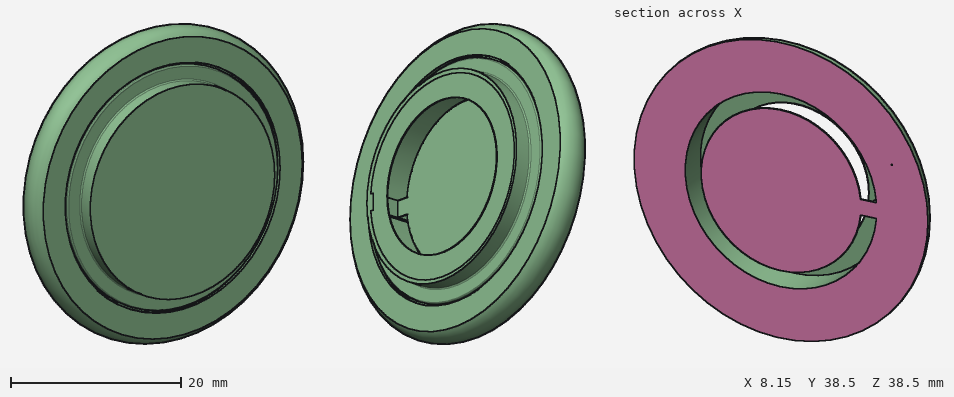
import cadquery as cq

total_width = 8.15
outer_radius = 19.25

rim_width = 3.95
rim_offset = 0.05
crown_start_radius = 18.25

hub_radius = 26.0 / 2
hub_root_fillet = 0.15

opening_radius = 19.0 / 2
cavity_radius = 25.0 / 2
lip_thickness = 0.1
cavity_floor_x = 2.7

plate_radius = 10.47
plate_face_x = -0.08
plate_thickness = 0.15
tab_width = 2.1
pad_face_y = 12.0

groove_inner_radius = 14.85
groove_outer_radius = 15.13
groove_depth = 0.45
groove_edge_round = 0.15

half_width = total_width / 2
lip_inner_x = -half_width + lip_thickness
rim_near_x = rim_offset - rim_width / 2
rim_far_x = rim_offset + rim_width / 2


def ring_groove():
    """Groove cut into the -X face, with a rounded inner edge."""
    face_x = rim_near_x
    rounded_x = face_x + groove_edge_round
    arc_mid = groove_edge_round * 0.5**0.5
    centre_radius = groove_inner_radius - groove_edge_round
    return (
        cq.Workplane("XY")
        .moveTo(face_x, centre_radius)
        .threePointArc((rounded_x - arc_mid, centre_radius + arc_mid), (rounded_x, groove_inner_radius))
        .lineTo(face_x + groove_depth, groove_inner_radius)
        .lineTo(face_x + groove_depth, groove_outer_radius)
        .lineTo(face_x, groove_outer_radius)
        .close()
        .revolve(360, (0, 0, 0), (1, 0, 0))
    )


def crowned_disc():
    """Solid disc whose outer edge is a single arc."""
    return (
        cq.Workplane("XY")
        .moveTo(rim_near_x, 0)
        .lineTo(rim_near_x, crown_start_radius)
        .threePointArc((rim_offset, outer_radius), (rim_far_x, crown_start_radius))
        .lineTo(rim_far_x, 0)
        .close()
        .revolve(360, (0, 0, 0), (1, 0, 0))
    )


def add_hubs(disc):
    """Hubs on both faces, blended into the disc at their roots."""
    hubs = cq.Workplane("YZ").circle(hub_radius).extrude(half_width, both=True)
    root_edges = cq.selectors.RadiusNthSelector(0)
    body = disc.union(hubs)
    for face_x in (rim_near_x, rim_far_x):
        face = body.faces(cq.selectors.NearestToPointSelector((face_x, 0, groove_inner_radius)))
        body = face.edges(root_edges).fillet(hub_root_fillet)
    return body


def lipped_cavity():
    """Round cavity behind the lip, open at the -X end through the lip's hole."""
    cavity_length = cavity_floor_x - lip_inner_x
    cavity = cq.Workplane("YZ").workplane(offset=lip_inner_x).circle(cavity_radius).extrude(cavity_length)
    opening = cq.Workplane("YZ").workplane(offset=-half_width).circle(opening_radius).extrude(lip_thickness)
    return cavity.union(opening)


def tab_width_bar(start_x, length, start_y, end_y):
    """Bar as wide as the tab, centred on Z = 0."""
    size_y = end_y - start_y
    bar = cq.Workplane("YZ").workplane(offset=start_x).center((start_y + end_y) / 2, 0)
    return bar.rect(size_y, tab_width).extrude(length)


def tabbed_plate():
    """Round plate and its tab, which runs from the axis to the pad."""
    plate = cq.Workplane("YZ").workplane(offset=plate_face_x).circle(plate_radius).extrude(plate_thickness)
    return plate.union(tab_width_bar(plate_face_x, plate_thickness, 0, pad_face_y))


def wall_pad():
    """Flat pad on the cavity wall, from the lip to the cavity floor and sunk into the wall."""
    sunk_y = (cavity_radius + hub_radius) / 2
    return tab_width_bar(lip_inner_x, cavity_floor_x - lip_inner_x, pad_face_y, sunk_y)


near_groove = ring_groove()
far_groove = near_groove.mirror("YZ", (rim_offset, 0, 0))

body = add_hubs(crowned_disc()).cut(near_groove).cut(far_groove)
result = body.cut(lipped_cavity()).union(wall_pad()).union(tabbed_plate())